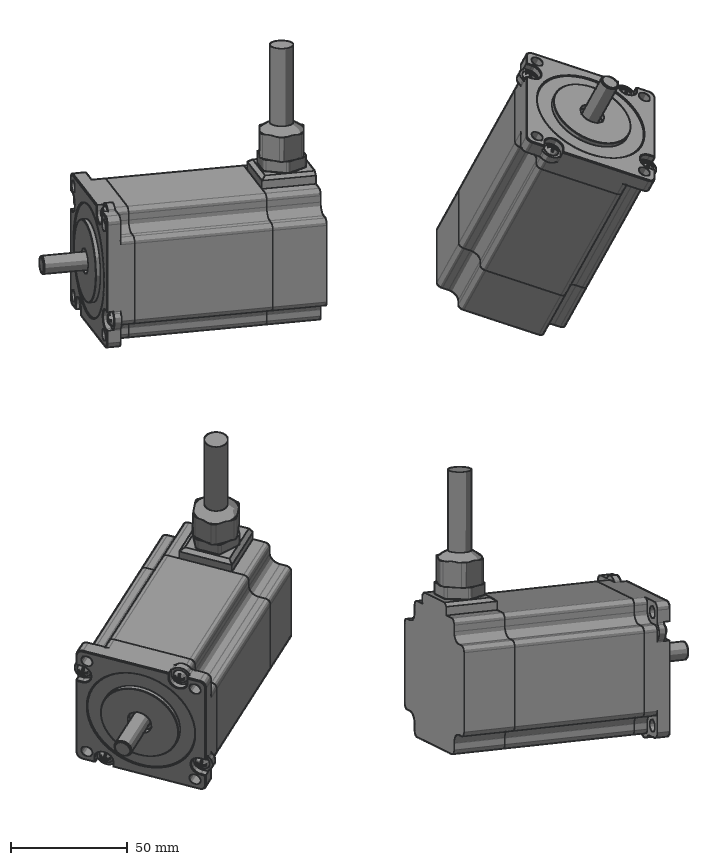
import cadquery as cq
import math

width = 60.0
half = width / 2
rear_y = 97.7
cover_length = 24.0
flange_length = 12.4
plate_thickness = 6.2
hole_pitch = 50.0
mount_hole_diameter = 5.2
corner_relief_wall = 20.0
corner_relief_radius = 4.6
body_edge_radius = 2.5
plate_corner_radius = 3.0
plate_edge_chamfer = 0.4

face_recess_radius = 25.2
face_recess_depth = 0.4
face_recess_taper = 45.0
pilot_radius = 18.0
pilot_height = 1.7
pilot_chamfer = 0.2
shaft_relief_radius = 5.5
shaft_relief_depth = 2.5

shaft_radius = 4.0
shaft_reach = 21.0
shaft_chamfer = 0.5

screw_long_offset = 27.4
screw_short_offset = 17.15
lobe_radius = 4.53
lobe_thickness = 3.2
lobe_blend_radius = 1.0
pocket_radius = 4.25
pocket_chamfer = 0.3
pocket_mouth_angle = 45.0
screw_head_radius = 3.25
screw_head_height = 2.1
cross_length = 4.0
cross_width = 0.85
cross_depth = 1.2

outlet_y = rear_y - cover_length / 2
pad_width = 24.4
pad_top = 35.3
pad_chamfer_side = 1.9
pad_chamfer_height = 1.5
gland_base_top = 40.7
gland_base_apothem = 9.6
gland_base_blend = 1.7
gland_base_chamfer = 0.4
gland_nut_top = 51.8
gland_nut_apothem = 9.5
gland_nut_blend = 2.2
gland_nut_turn = -15.0
dome_top = 55.0
dome_base_radius = 9.8
dome_bulge = 0.15
cable_radius = 5.1
cable_top = 90.5


def along_y(sketch_y):
    """Workplane facing -Y at the given Y, with X to the right and Z up."""
    return cq.Workplane("XZ", origin=(0, sketch_y, 0))


def body_section(front_y, back_y):
    """Square bar with a concave relief in each corner and rounded long edges."""
    length = back_y - front_y
    wall = corner_relief_wall
    relief_axis = wall + corner_relief_radius
    arc_mid = relief_axis - corner_relief_radius * math.sqrt(0.5)
    bar = along_y(back_y).rect(width, width).extrude(length)
    relief = (
        along_y(back_y)
        .moveTo(wall, half)
        .lineTo(wall, relief_axis)
        .threePointArc((arc_mid, arc_mid), (relief_axis, wall))
        .lineTo(half, wall)
        .lineTo(half, half)
        .close()
        .extrude(length)
    )
    for quarter in range(4):
        bar = bar.cut(relief.rotate((0, 0, 0), (0, 1, 0), 90 * quarter))
    mid_y = (front_y + back_y) / 2
    for x_side in (-1, 1):
        for z_side in (-1, 1):
            for x, z in ((wall, half), (half, wall)):
                picker = cq.selectors.NearestToPointSelector((x_side * x, mid_y, z_side * z))
                bar = bar.edges("|Y").edges(picker).fillet(body_edge_radius)
    return bar


def screw_lobe():
    """Tab around the screw at the top (+Z) edge, blended into the plate edge."""
    screw_plane = along_y(plate_thickness).center(screw_short_offset, screw_long_offset)
    lobe = screw_plane.circle(lobe_radius).extrude(lobe_thickness)
    rise = half + lobe_blend_radius - screw_long_offset
    reach = lobe_radius + lobe_blend_radius
    blend_offset = math.sqrt(reach**2 - rise**2)
    web_height = rise * lobe_radius / reach
    web = (
        screw_plane.moveTo(-blend_offset, 0)
        .lineTo(blend_offset, 0)
        .lineTo(blend_offset, web_height)
        .lineTo(-blend_offset, web_height)
        .close()
        .extrude(lobe_thickness)
    )
    for side in (-1, 1):
        blend = (
            screw_plane.center(side * blend_offset, rise)
            .circle(lobe_blend_radius)
            .extrude(lobe_thickness)
        )
        web = web.cut(blend)
    return lobe.union(web)


def screw_pocket():
    """Pocket over the lobe, open at the plate edge, with a chamfered mouth."""
    floor_y = plate_thickness - lobe_thickness
    open_end = 2 * lobe_radius

    def open_slot(start_y, taper=0):
        return (
            along_y(start_y)
            .center(screw_short_offset, screw_long_offset)
            .moveTo(-pocket_radius, open_end)
            .lineTo(-pocket_radius, 0)
            .threePointArc((0, -pocket_radius), (pocket_radius, 0))
            .lineTo(pocket_radius, open_end)
            .close()
            .extrude(start_y, taper=taper)
        )

    well = open_slot(floor_y)
    mouth = open_slot(pocket_chamfer, taper=-pocket_mouth_angle)
    return well.union(mouth)


def screw_head():
    """Domed head with a cross recess, seated on the lobe."""
    floor_y = plate_thickness - lobe_thickness
    top_y = floor_y - screw_head_height
    sphere_radius = (screw_head_radius**2 + screw_head_height**2) / (2 * screw_head_height)
    sphere = cq.Workplane("XY").sphere(sphere_radius).translate((0, top_y + sphere_radius, 0))
    head = sphere.intersect(along_y(floor_y).circle(screw_head_radius).extrude(screw_head_height))
    cross_plane = along_y(top_y + cross_depth)
    bar_x = cross_plane.rect(cross_length, cross_width).extrude(cross_depth)
    bar_z = cross_plane.rect(cross_width, cross_length).extrude(cross_depth)
    cross = bar_x.union(bar_z)
    return head.cut(cross).translate((screw_short_offset, 0, screw_long_offset))


def make_flange():
    """Front flange with pilot, mounting holes and four screws at its edges."""
    plate = along_y(plate_thickness).rect(width, width).extrude(plate_thickness)
    plate = plate.edges("|Y").fillet(plate_corner_radius)
    plate = plate.faces("<Y").edges().chamfer(plate_edge_chamfer)

    face_recess = (
        cq.Workplane("XZ")
        .circle(face_recess_radius)
        .extrude(-face_recess_depth, taper=face_recess_taper)
    )
    pilot = (
        along_y(face_recess_depth)
        .circle(pilot_radius)
        .extrude(face_recess_depth + pilot_height)
        .faces("<Y")
        .chamfer(pilot_chamfer)
    )
    flange = plate.cut(face_recess).union(pilot)
    flange = flange.union(body_section(plate_thickness, flange_length))

    lobe = screw_lobe()
    pocket = screw_pocket()
    head = screw_head()
    for quarter in range(4):
        turn = ((0, 0, 0), (0, 1, 0), 90 * quarter)
        flange = flange.union(lobe.rotate(*turn))
        flange = flange.cut(pocket.rotate(*turn))
        flange = flange.union(head.rotate(*turn))

    mount_holes = (
        along_y(plate_thickness)
        .rect(hole_pitch, hole_pitch, forConstruction=True)
        .vertices()
        .circle(mount_hole_diameter / 2)
        .extrude(plate_thickness)
    )
    relief_floor_y = shaft_relief_depth - pilot_height
    shaft_relief = along_y(relief_floor_y).circle(shaft_relief_radius).extrude(shaft_relief_depth)
    shaft_bore = along_y(flange_length).circle(shaft_radius).extrude(flange_length)
    return flange.cut(mount_holes).cut(shaft_relief).cut(shaft_bore)


def make_shaft():
    """Plain shaft running from the stator face through the flange."""
    shaft = along_y(flange_length).circle(shaft_radius).extrude(flange_length + shaft_reach)
    return shaft.faces("<Y").chamfer(shaft_chamfer)


def make_stator():
    """Middle housing between the flange and the rear cover."""
    return body_section(flange_length, rear_y - cover_length)


def rounded_hexagon(bottom_z, top_z, apothem, blend, turn):
    """Hexagonal prism about the outlet axis with rounded upright edges."""
    corner_diameter = 2 * apothem / math.cos(math.pi / 6)
    prism = cq.Workplane("XY").polygon(6, corner_diameter).extrude(top_z - bottom_z)
    prism = prism.edges("|Z").fillet(blend)
    return prism.rotate((0, 0, 0), (0, 0, 1), turn).translate((0, outlet_y, bottom_z))


def make_outlet_pad():
    """Block rising through the cover to the outlet pad, bevelled on its front and both sides."""
    bevel_z = pad_top - pad_chamfer_height
    front_y = rear_y - cover_length
    pad = (
        cq.Workplane("XY")
        .box(pad_width, cover_length, pad_top, centered=(True, False, False))
        .translate((0, front_y, 0))
    )
    for side in (-1, 1):
        edge_x = side * pad_width / 2
        side_bevel = (
            along_y(rear_y)
            .moveTo(edge_x, bevel_z)
            .lineTo(edge_x, pad_top)
            .lineTo(edge_x - side * pad_chamfer_side, pad_top)
            .close()
            .extrude(cover_length)
        )
        pad = pad.cut(side_bevel)
    front_bevel = (
        cq.Workplane("YZ")
        .moveTo(front_y, bevel_z)
        .lineTo(front_y, pad_top)
        .lineTo(front_y + pad_chamfer_side, pad_top)
        .close()
        .extrude(pad_width / 2, both=True)
    )
    return pad.cut(front_bevel)


def make_gland_nut():
    """Hexagonal nut capped by a convex dome that narrows to the cable."""
    nut_reach = gland_nut_apothem / math.cos(math.pi / 6)
    dome_mid_radius = (dome_base_radius + cable_radius) / 2 + dome_bulge
    dome_mid_z = (gland_nut_top + dome_top) / 2 + dome_bulge
    envelope = (
        cq.Workplane("XZ")
        .moveTo(0, gland_base_top)
        .lineTo(nut_reach, gland_base_top)
        .lineTo(nut_reach, gland_nut_top)
        .lineTo(dome_base_radius, gland_nut_top)
        .threePointArc((dome_mid_radius, dome_mid_z), (cable_radius, dome_top))
        .lineTo(0, dome_top)
        .close()
        .revolve(360, (0, 0), (0, 1))
        .translate((0, outlet_y, 0))
    )
    prism = rounded_hexagon(
        gland_base_top, dome_top, gland_nut_apothem, gland_nut_blend, gland_nut_turn
    )
    return prism.intersect(envelope)


def make_rear_cover():
    """Rear cover carrying the outlet pad, the cable gland and the cable."""
    outlet_plane = cq.Workplane("XY", origin=(0, outlet_y, pad_top))
    cable = outlet_plane.circle(cable_radius).extrude(cable_top - pad_top)
    gland_base = rounded_hexagon(pad_top, gland_base_top, gland_base_apothem, gland_base_blend, 0)
    gland_base = gland_base.faces("<Z").chamfer(gland_base_chamfer)
    cover = body_section(rear_y - cover_length, rear_y)
    for part in (make_outlet_pad(), gland_base, make_gland_nut(), cable):
        cover = cover.union(part)
    return cover


flange = make_flange()
shaft = make_shaft()
stator = make_stator()
rear_cover = make_rear_cover()

result = cq.Compound.makeCompound([flange.val(), shaft.val(), stator.val(), rear_cover.val()])